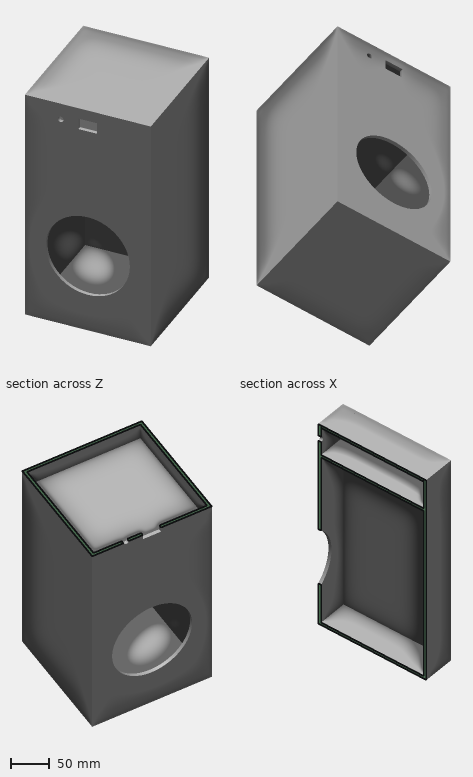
import cadquery as cq

height = 340.0
side = 180.0
wall = 5.0
inner_side = side - 2 * wall

lid_thickness = wall
shelf_top = 290.0
shelf_thickness = wall

port_diameter = 120.0
port_height = 115.0
controls_height = 316.0
window_width = 27.0
window_height = 16.3
small_hole_diameter = 8.0
small_hole_offset = 38.8


def square_block(width, bottom, top):
    """Square block centred on the Z axis, between two heights."""
    return cq.Workplane("XY").workplane(offset=bottom).rect(width, width).extrude(top - bottom)


def front_sketch(x, z):
    """Workplane on the outer front face, with its origin at (x, z) and its normal toward -Y."""
    return cq.Workplane("XZ", origin=(x, -side / 2, z))


def front_hole(x, z, diameter):
    """Cutter for a round hole through the front wall."""
    return front_sketch(x, z).circle(diameter / 2).extrude(-wall)


def front_window(x, z):
    """Cutter for the rectangular window through the front wall."""
    return front_sketch(x, z).rect(window_width, window_height).extrude(-wall)


def make_housing():
    """Square box, open at the top, with a shelf and three front openings."""
    lower_compartment = square_block(inner_side, wall, shelf_top - shelf_thickness)
    upper_compartment = square_block(inner_side, shelf_top, height)
    return (
        square_block(side, 0, height)
        .cut(lower_compartment)
        .cut(upper_compartment)
        .cut(front_hole(0, port_height, port_diameter))
        .cut(front_hole(-small_hole_offset, controls_height, small_hole_diameter))
        .cut(front_window(0, controls_height))
    )


def make_lid():
    """Flat panel that fills the mouth of the housing."""
    return square_block(inner_side, height - lid_thickness, height)


housing = make_housing()
lid = make_lid()

result = cq.Compound.makeCompound([housing.val(), lid.val()])